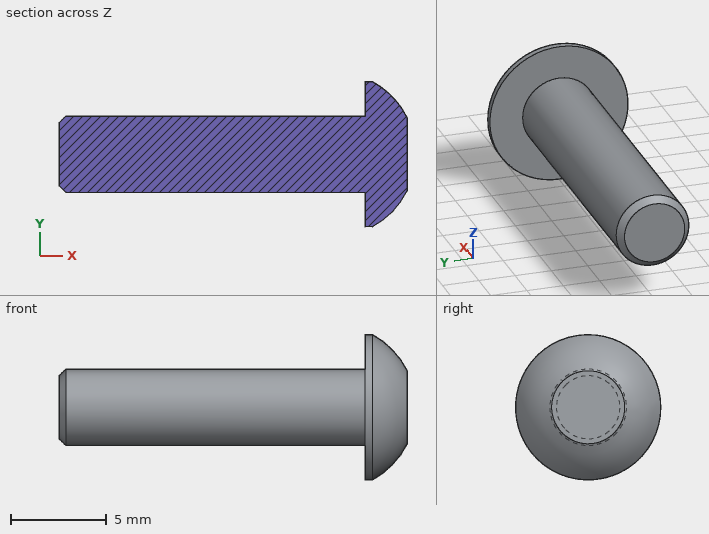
import cadquery as cq

total_length = 18.2
head_diameter = 7.6
head_height = 2.2
shank_diameter = 4.0

tip_chamfer = 0.35
rim_thickness = 0.38
crown_flat_diameter = 3.82

tip_x = head_height - total_length
crown_x = head_height

head_radius = head_diameter / 2
shank_radius = shank_diameter / 2
crown_flat_radius = crown_flat_diameter / 2

dome_centre_x = (
    (crown_x**2 + crown_flat_radius**2 - rim_thickness**2 - head_radius**2)
    / (2 * (crown_x - rim_thickness))
)
dome_radius = ((crown_x - dome_centre_x)**2 + crown_flat_radius**2) ** 0.5
dome_mid_x = (rim_thickness + crown_x) / 2
dome_mid_radius = (dome_radius**2 - (dome_mid_x - dome_centre_x)**2) ** 0.5


def make_shank():
    """Plain cylinder with a chamfered tip."""
    return (
        cq.Workplane("YZ", origin=(tip_x, 0, 0))
        .circle(shank_radius)
        .extrude(-tip_x)
        .faces("<X")
        .chamfer(tip_chamfer)
    )


def make_head():
    """Domed head with a narrow cylindrical rim and a flat crown."""
    return (
        cq.Workplane("XY")
        .moveTo(0, 0)
        .lineTo(0, head_radius)
        .lineTo(rim_thickness, head_radius)
        .threePointArc((dome_mid_x, dome_mid_radius), (crown_x, crown_flat_radius))
        .lineTo(crown_x, 0)
        .close()
        .revolve(360, (0, 0, 0), (1, 0, 0))
    )


result = make_shank().union(make_head())